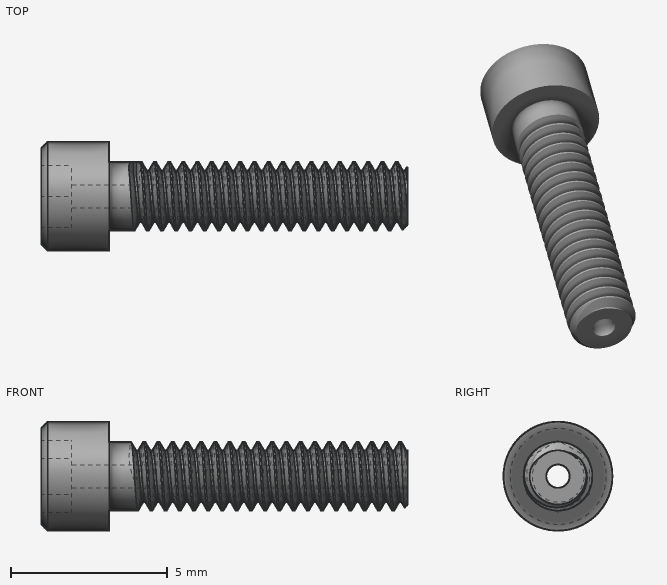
import cadquery as cq
import math

total_length = 11.68
head_diameter = 3.48
head_length = 2.16
head_chamfer = 0.21

shank_diameter = 2.2
tip_chamfer = 0.2

socket_across_flats = 1.99
socket_depth = 0.96
bore_diameter = 0.74

pitch = 0.453
thread_depth = 0.275
crest_width = pitch / 8
flank_half_angle = math.radians(30)
groove_x_at_y = 2.94
start_angle = 36.0
first_groove_x = groove_x_at_y + pitch * start_angle / 360
cutter_overlap = 0.02
root_radius = shank_diameter / 2 - thread_depth
outer_radius = shank_diameter / 2 + cutter_overlap


def cylinder(diameter, start_x, end_x):
    """Solid cylinder on the X axis."""
    return cq.Workplane("YZ", origin=(start_x, 0, 0)).circle(diameter / 2).extrude(end_x - start_x)


def make_blank():
    """Chamfered head joined to the plain, chamfered shank."""
    head = cylinder(head_diameter, 0, head_length).faces("<X").chamfer(head_chamfer)
    shank = cylinder(shank_diameter, head_length, total_length).faces(">X").chamfer(tip_chamfer)
    return head.union(shank)


def make_socket():
    """Hexagonal recess with two corners on the Z axis."""
    across_corners = socket_across_flats / math.cos(math.radians(30))
    hexagon = cq.Workplane("YZ").polygon(6, across_corners).extrude(socket_depth)
    return hexagon.rotate((0, 0, 0), (1, 0, 0), 90)


def groove_profile():
    """Trapezoidal groove section, with the thread axis along Z."""
    flank_slope = math.tan(flank_half_angle)
    shank_half_width = (pitch - crest_width) / 2
    outer_half_width = shank_half_width + cutter_overlap * flank_slope
    root_half_width = shank_half_width - thread_depth * flank_slope
    return (
        cq.Workplane("XZ")
        .polyline([
            (root_radius, -root_half_width),
            (outer_radius, -outer_half_width),
            (outer_radius, outer_half_width),
            (root_radius, root_half_width),
        ])
        .close()
    )


def place_cutter(cutter):
    """Lay the thread axis along X and move the section to the thread start."""
    along_x = cutter.rotate((0, 0, 0), (0, 1, 0), 90)
    turned = along_x.rotate((0, 0, 0), (1, 0, 0), 90 + start_angle)
    return turned.translate((first_groove_x, 0, 0))


def cut_thread(blank):
    """Cut a straight tangential run-in, then the groove turn by turn past the tip."""
    run_in_length = math.sqrt(outer_radius**2 - root_radius**2)
    threaded = blank.cut(place_cutter(groove_profile().extrude(run_in_length)), clean=False)

    helix = cq.Wire.makeHelix(pitch, pitch, root_radius)
    groove_turn = place_cutter(groove_profile().sweep(cq.Workplane(obj=helix), isFrenet=True))
    turn_count = math.ceil((total_length - first_groove_x) / pitch) + 1
    for turn in range(turn_count):
        threaded = threaded.cut(groove_turn.translate((turn * pitch, 0, 0)), clean=False)
    return threaded


bore = cylinder(bore_diameter, 0, total_length)
result = cut_thread(make_blank()).cut(make_socket(), clean=False).cut(bore, clean=False)